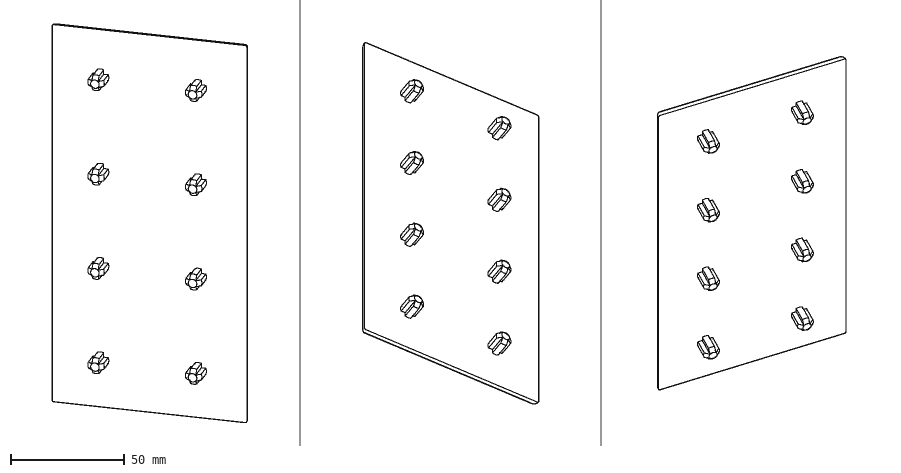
import cadquery as cq

PLATE_WIDTH = 89.7
PLATE_HEIGHT = 179.8
PLATE_THICKNESS = 3.8
CORNER_RADIUS = 0.9
RIM_THICKNESS = 0.5
BEVEL_RADIUS = 3.5

TOTAL_DEPTH = 12.8
PIN_LENGTH = TOTAL_DEPTH - PLATE_THICKNESS
PIN_DIAMETER = 7.5
RIB_THICKNESS = 2.9
TIP_CHAMFER = 1.8

PIN_COLUMNS = 2
PIN_ROWS = 4
PIN_SPACING = 45.0


def make_slab(thickness):
    """Plain slab of the plate's outline, from Y = 0 toward +Y."""
    return cq.Workplane("XY").box(
        PLATE_WIDTH, thickness, PLATE_HEIGHT, centered=(True, False, True)
    )


def make_plate():
    """Plate with a thin straight rim and a rounded bevel that meets the flat back at a crease."""
    blank = make_slab(RIM_THICKNESS + BEVEL_RADIUS)
    blank = blank.edges("|Y").fillet(CORNER_RADIUS)
    blank = blank.faces(">Y").edges().fillet(BEVEL_RADIUS)
    return blank.intersect(make_slab(PLATE_THICKNESS))


def make_rib(width, height):
    """Rectangular rib running from the plate face toward -Y."""
    return cq.Workplane("XZ").rect(width, height).extrude(PIN_LENGTH)


def make_pin():
    """Pin pointing toward -Y: a cylinder with a chamfered tip, cut down to two crossing ribs."""
    cylinder = cq.Workplane("XZ").circle(PIN_DIAMETER / 2).extrude(PIN_LENGTH)
    cylinder = cylinder.faces("<Y").chamfer(TIP_CHAMFER)
    cross = make_rib(PIN_DIAMETER, RIB_THICKNESS).union(make_rib(RIB_THICKNESS, PIN_DIAMETER))
    return cylinder.intersect(cross)


def centred_positions(count):
    """Evenly spaced pin positions, symmetric about zero."""
    return [(index - (count - 1) / 2) * PIN_SPACING for index in range(count)]


result = make_plate()
pin = make_pin()
for pin_x in centred_positions(PIN_COLUMNS):
    for pin_z in centred_positions(PIN_ROWS):
        result = result.union(pin.translate((pin_x, 0, pin_z)))